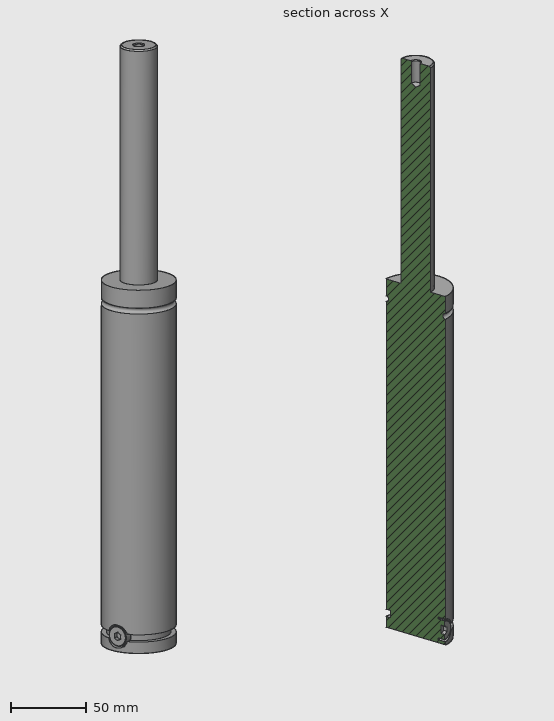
import cadquery as cq
import math

total_length = 415.0
body_length = 252.0
body_radius = 25.0
rod_radius = 12.5
rod_edge_chamfer = 1.0

base_groove_bottom = 8.0
base_groove_width = 5.0
base_groove_depth = 3.5

head_length = 12.5
head_groove_radius = 2.0

rod_hole_radius = 3.4
rod_hole_mouth_radius = 4.0
rod_hole_depth = 16.0
drill_point_angle = 118.0

port_height = 10.5
port_radius = 8.0
port_depth = 6.0
plug_radius = 7.0
plug_face_inset = 0.5
plug_edge_chamfer = 0.5
socket_across_flats = 5.0
socket_depth = 3.0


def cylinder_with_rod():
    """Body with both ring grooves and the bored rod, turned about Z."""
    base_groove_top = base_groove_bottom + base_groove_width
    base_groove_floor = body_radius - base_groove_depth
    head_groove_top = body_length - head_length
    head_groove_middle = head_groove_top - head_groove_radius
    head_groove_bottom = head_groove_middle - head_groove_radius
    groove_floor_point = (body_radius - head_groove_radius, head_groove_middle)
    rod_hole_bottom = total_length - rod_hole_depth
    rod_hole_mouth_depth = rod_hole_mouth_radius - rod_hole_radius
    drill_point_length = rod_hole_radius / math.tan(math.radians(drill_point_angle / 2))
    return (
        cq.Workplane("XZ")
        .moveTo(0, 0)
        .lineTo(body_radius, 0)
        .lineTo(body_radius, base_groove_bottom)
        .lineTo(base_groove_floor, base_groove_bottom)
        .lineTo(base_groove_floor, base_groove_top)
        .lineTo(body_radius, base_groove_top)
        .lineTo(body_radius, head_groove_bottom)
        .threePointArc(groove_floor_point, (body_radius, head_groove_top))
        .lineTo(body_radius, body_length)
        .lineTo(rod_radius, body_length)
        .lineTo(rod_radius, total_length - rod_edge_chamfer)
        .lineTo(rod_radius - rod_edge_chamfer, total_length)
        .lineTo(rod_hole_mouth_radius, total_length)
        .lineTo(rod_hole_radius, total_length - rod_hole_mouth_depth)
        .lineTo(rod_hole_radius, rod_hole_bottom)
        .lineTo(0, rod_hole_bottom - drill_point_length)
        .close()
        .revolve(360, (0, 0, 0), (0, 1, 0))
    )


def port_cylinder(radius, outer_inset, inner_inset):
    """Cylinder along Y at the port, between two insets from the body's -Y side."""
    inner_y = -body_radius + inner_inset
    return (
        cq.Workplane("XZ", origin=(0, inner_y, port_height))
        .circle(radius)
        .extrude(inner_inset - outer_inset)
    )


def plug_socket():
    """Cutter for the hexagon socket in the plug, with two corners on the vertical."""
    across_corners = socket_across_flats / math.cos(math.pi / 6)
    socket_end_y = -body_radius + plug_face_inset + socket_depth
    return (
        cq.Workplane("XZ", origin=(0, socket_end_y, port_height))
        .transformed(rotate=(0, 0, 90))
        .polygon(6, across_corners)
        .extrude(socket_depth)
    )


port = port_cylinder(port_radius, 0, port_depth)
plug = port_cylinder(plug_radius, plug_face_inset, port_depth).faces("<Y").chamfer(plug_edge_chamfer)

result = cylinder_with_rod().cut(port).union(plug).cut(plug_socket())